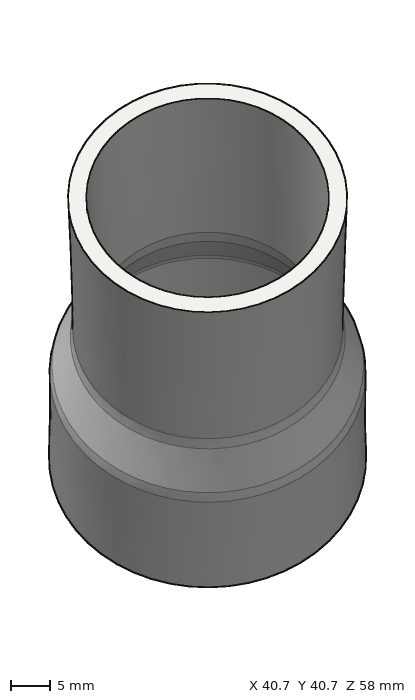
import cadquery as cq

total_height = 57.98
shoulder_bottom_z = 19.85
shoulder_top_z = 28.0

socket_mouth_radius = 20.35
socket_inner_end_radius = 20.27
neck_radius = 17.3
spigot_mouth_radius = 17.9

wall_thickness = 2.35
bend_radius = 5.0


def solid_sleeve():
    """Outer shape with sharp bends: wide socket, conical shoulder, flared spigot."""
    outline = [
        (0, 0),
        (socket_mouth_radius, 0),
        (socket_inner_end_radius, shoulder_bottom_z),
        (neck_radius, shoulder_top_z),
        (spigot_mouth_radius, total_height),
        (0, total_height),
    ]
    return cq.Workplane("XZ").polyline(outline).close().revolve(360, (0, 0), (0, 1))


def round_bend(body, height):
    """Round the outer circular edge that lies at the given height."""
    reach = socket_mouth_radius
    slack = wall_thickness / 10
    edge_zone = cq.selectors.BoxSelector(
        (-reach, -reach, height - slack),
        (reach, reach, height + slack),
    )
    return body.edges("%CIRCLE").edges(edge_zone).fillet(bend_radius)


def hollow_out(body):
    """Open both ends, leaving a wall of even thickness that follows the outside."""
    return body.faces("<Z or >Z").shell(-wall_thickness)


sleeve = solid_sleeve()
for bend_z in (shoulder_bottom_z, shoulder_top_z):
    sleeve = round_bend(sleeve, bend_z)

result = hollow_out(sleeve)